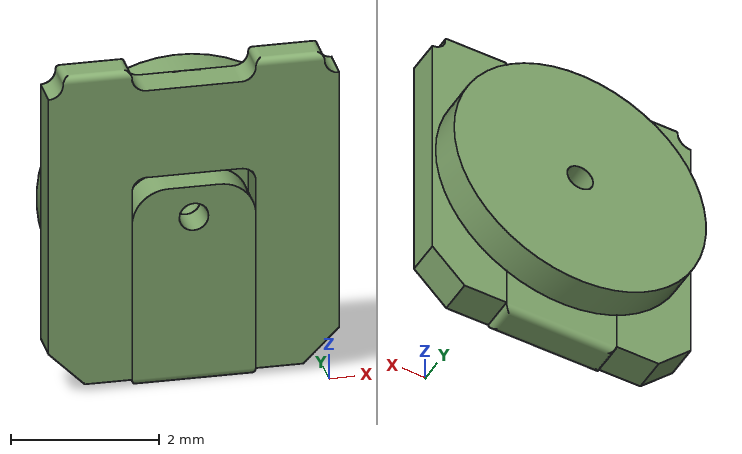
import cadquery as cq


total_height = 4.7
plate_width = 4.0
total_depth = 1.0
plate_thickness = 0.5

edge_round = 0.1
plate_bottom = edge_round
plate_top = total_height - 0.3
corner_chamfer = 0.5
tab_root_radius = 0.2
tab_outer_x = plate_width / 2 - tab_root_radius

slot_width = 1.7
slot_top = 3.1
slot_corner_radius = 0.2
tongue_top = 2.9
tongue_corner_radius = 0.5

disc_diameter = 3.9
disc_thickness = total_depth - plate_thickness
hole_diameter = 0.4
axis_height = 2.45


def block(x_min, x_max, z_min, z_max):
    """Rectangular block through the whole plate thickness."""
    return cq.Workplane("XY").box(
        x_max - x_min, plate_thickness, z_max - z_min, centered=False
    ).translate((x_min, 0, z_min))


def cylinder(x, z, diameter, y_start, length):
    """Cylinder along +Y."""
    return cq.Workplane("XZ", origin=(x, y_start, z)).circle(diameter / 2).extrude(-length)


def root_fillet(x_tab, direction):
    """Concave fillet between a tab side and the plate top; direction points away from the tab."""
    x_center = x_tab + direction * tab_root_radius
    x_min, x_max = sorted((x_tab, x_center))
    fillet_top = plate_top + tab_root_radius
    corner = block(x_min, x_max, plate_top, fillet_top)
    return corner.cut(cylinder(x_center, fillet_top, 2 * tab_root_radius, 0, plate_thickness))


def make_tab(side):
    """Round-topped tab with a concave fillet at each side; side is -1 (left) or 1 (right)."""
    x_inner = side * slot_width / 2
    x_outer = side * tab_outer_x
    x_min, x_max = sorted((x_inner, x_outer))
    tab = block(x_min, x_max, plate_top, total_height).faces(">Z").edges().fillet(edge_round)
    return tab.union(root_fillet(x_inner, -side)).union(root_fillet(x_outer, side))


def make_plate():
    """Plate with chamfered lower corners, two tabs on top and a slot open at the bottom."""
    plate = block(-plate_width / 2, plate_width / 2, plate_bottom, plate_top)
    plate = plate.edges("|Y and <Z").chamfer(corner_chamfer)
    for side in (-1, 1):
        plate = plate.union(make_tab(side))
    slot = block(-slot_width / 2, slot_width / 2, plate_bottom, slot_top)
    return plate.cut(slot.edges("|Y and >Z").fillet(slot_corner_radius))


def make_tongue():
    """Tongue in the slot, with rounded upper corners, a rounded foot and a through hole."""
    tongue = block(-slot_width / 2, slot_width / 2, 0, tongue_top)
    tongue = tongue.edges("|Y and >Z").fillet(tongue_corner_radius)
    tongue = tongue.faces("<Z").edges().fillet(edge_round)
    return tongue.cut(cylinder(0, axis_height, hole_diameter, 0, plate_thickness))


def make_disc():
    """Disc against the back of the plate, bored in line with the tongue hole."""
    disc = cylinder(0, axis_height, disc_diameter, plate_thickness, disc_thickness)
    return disc.cut(cylinder(0, axis_height, hole_diameter, plate_thickness, disc_thickness))


plate = make_plate()
tongue = make_tongue()
disc = make_disc()

result = cq.Compound.makeCompound([plate.val(), tongue.val(), disc.val()])